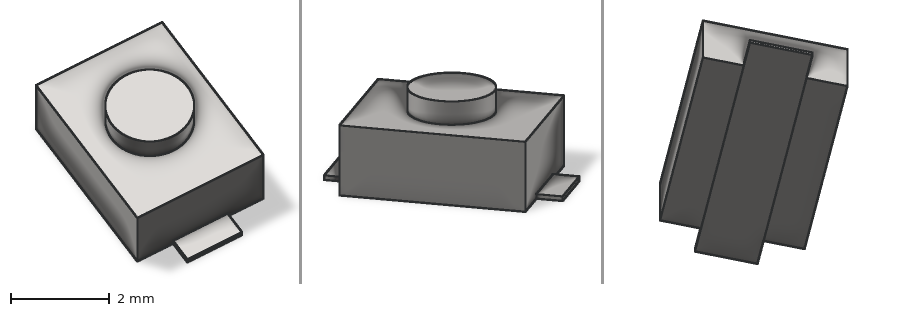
import cadquery as cq

overall_length = 5.0
overall_height = 2.0

housing_length = 3.9
housing_width = 3.0
housing_height = 1.5

button_diameter = 1.8
button_height = overall_height - housing_height

terminal_width = 1.3
terminal_thickness = 0.1


def make_terminal_strip():
    """Flat strip running the full overall length, standing on Z = 0."""
    return cq.Workplane("XY").box(
        overall_length, terminal_width, terminal_thickness, centered=(True, True, False)
    )


def make_housing():
    """Rectangular switch housing with a channel in its underside for the terminal strip."""
    block = cq.Workplane("XY").box(
        housing_length, housing_width, housing_height, centered=(True, True, False)
    )
    return block.cut(make_terminal_strip())


def make_button():
    """Round button resting on the top face of the housing."""
    return (
        cq.Workplane("XY")
        .workplane(offset=housing_height)
        .circle(button_diameter / 2)
        .extrude(button_height)
    )


terminal_strip = make_terminal_strip()
housing = make_housing()
button = make_button()

result = cq.Compound.makeCompound([housing.val(), button.val(), terminal_strip.val()])